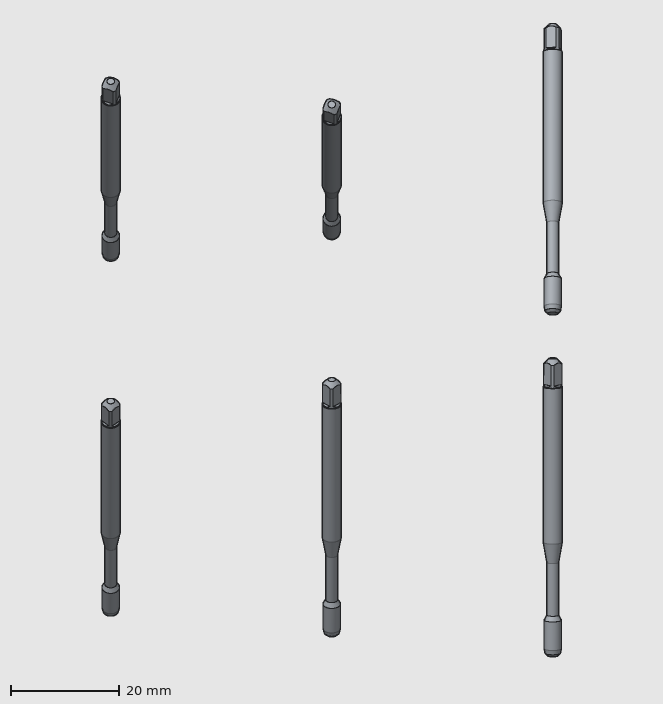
import cadquery as cq

TOTAL_LENGTH = 56.1

HEAD_DIAMETER = 3.25
TIP_DIAMETER = 1.9
LEAD_DIAMETER = 2.9
TIP_TOP = 0.5
LEAD_TOP = 1.35
HEAD_TOP = 6.75

NECK_DIAMETER = 2.25
NECK_BOTTOM = 7.7
NECK_TOP = 17.6
SHANK_DIAMETER = 3.6
SHANK_BOTTOM = 21.45

SQUARE_WIDTH = 2.8
CORNER_DIAMETER = 3.4
SHANK_TOP = 50.7
FLAT_BOTTOM = 51.2
CROWN_DIAMETER = 1.4

HEAD_RADIUS = HEAD_DIAMETER / 2
NECK_RADIUS = NECK_DIAMETER / 2
SHANK_RADIUS = SHANK_DIAMETER / 2
CORNER_RADIUS = CORNER_DIAMETER / 2
CROWN_RADIUS = CROWN_DIAMETER / 2

RAMP_HEIGHT = (SHANK_DIAMETER - SQUARE_WIDTH) / 2
RAMP_BOTTOM = FLAT_BOTTOM - RAMP_HEIGHT
CORNER_BOTTOM = SHANK_TOP + SHANK_RADIUS - CORNER_RADIUS
CORNER_TOP = TOTAL_LENGTH - (CORNER_RADIUS - CROWN_RADIUS)


def revolve_profile(points):
    """Solid of revolution about Z from (radius, height) points."""
    return cq.Workplane("XZ").polyline(points).close().revolve(360, (0, 0), (0, 1))


def make_head():
    """Cutting head with a two-step tapered tip."""
    return revolve_profile([
        (0, 0),
        (TIP_DIAMETER / 2, 0),
        (LEAD_DIAMETER / 2, TIP_TOP),
        (HEAD_RADIUS, LEAD_TOP),
        (HEAD_RADIUS, HEAD_TOP),
        (0, HEAD_TOP),
    ])


def make_square_envelope():
    """Square bar that widens at 45 degrees below the flats to clear the shank."""
    bar = cq.Workplane("XY").rect(SQUARE_WIDTH, SQUARE_WIDTH).extrude(TOTAL_LENGTH)
    ramp = (
        cq.Workplane("XY").workplane(offset=RAMP_BOTTOM)
        .rect(SHANK_DIAMETER, SHANK_DIAMETER)
        .workplane(offset=RAMP_HEIGHT)
        .rect(SQUARE_WIDTH, SQUARE_WIDTH)
        .loft(ruled=True)
    )
    base = cq.Workplane("XY").rect(SHANK_DIAMETER, SHANK_DIAMETER).extrude(RAMP_BOTTOM)
    return bar.union(base).union(ramp)


def make_shank():
    """Neck and shank, with a driving square and a coned end."""
    turned = revolve_profile([
        (0, HEAD_TOP),
        (HEAD_RADIUS, HEAD_TOP),
        (NECK_RADIUS, NECK_BOTTOM),
        (NECK_RADIUS, NECK_TOP),
        (SHANK_RADIUS, SHANK_BOTTOM),
        (SHANK_RADIUS, SHANK_TOP),
        (CORNER_RADIUS, CORNER_BOTTOM),
        (CORNER_RADIUS, CORNER_TOP),
        (CROWN_RADIUS, TOTAL_LENGTH),
        (0, TOTAL_LENGTH),
    ])
    return turned.intersect(make_square_envelope())


head = make_head()
shank = make_shank()

result = cq.Compound.makeCompound([head.val(), shank.val()])